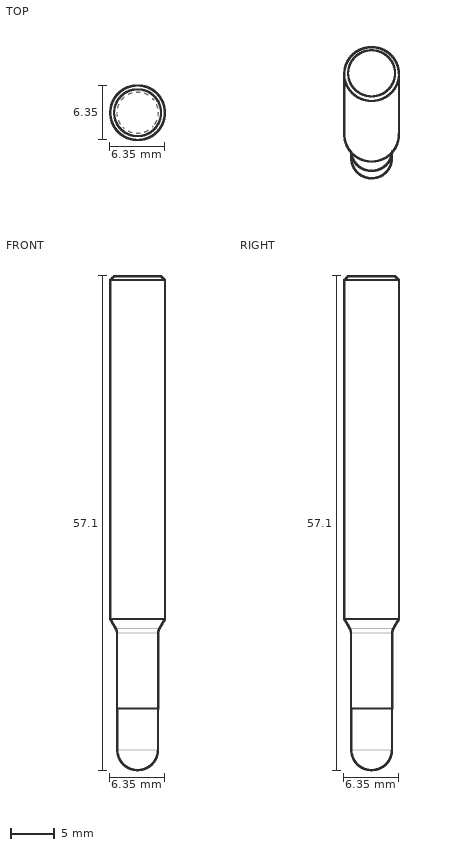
import cadquery as cq
import math

total_length = 57.15
shank_diameter = 6.35
neck_diameter = 4.8
tip_diameter = 4.75
tip_length = 7.15
shank_start = 17.5
top_chamfer = 0.45
taper_angle = 30.0
neck_fillet = 1.05

shank_radius = shank_diameter / 2
neck_radius = neck_diameter / 2
tip_radius = tip_diameter / 2
bottom_z = -total_length / 2
top_z = total_length / 2
joint_z = bottom_z + tip_length
shank_z = bottom_z + shank_start


def fillet_point(radius, degrees, start_z):
    """Point on the neck fillet, turned by an angle from its lower end."""
    angle = math.radians(degrees)
    return (neck_radius + radius * (1 - math.cos(angle)), start_z + radius * math.sin(angle))


def make_shank():
    """Chamfered shank with a tapered, filleted step down to the neck."""
    slope = math.radians(taper_angle)
    taper_end_radius = neck_radius + neck_fillet * (1 - math.cos(slope))
    taper_height = (shank_radius - taper_end_radius) / math.tan(slope)
    fillet_z = shank_z - taper_height - neck_fillet * math.sin(slope)
    return (
        cq.Workplane("XZ")
        .moveTo(0, joint_z)
        .lineTo(neck_radius, joint_z)
        .lineTo(neck_radius, fillet_z)
        .threePointArc(
            fillet_point(neck_fillet, taper_angle / 2, fillet_z),
            fillet_point(neck_fillet, taper_angle, fillet_z),
        )
        .lineTo(shank_radius, shank_z)
        .lineTo(shank_radius, top_z - top_chamfer)
        .lineTo(shank_radius - top_chamfer, top_z)
        .lineTo(0, top_z)
        .close()
        .revolve(360, (0, 0, 0), (0, 1, 0))
    )


def make_tip():
    """Cylindrical tip with a hemispherical lower end, butted against the neck."""
    ball_z = bottom_z + tip_radius
    diagonal = tip_radius * math.sqrt(0.5)
    return (
        cq.Workplane("XZ")
        .moveTo(0, bottom_z)
        .threePointArc((diagonal, ball_z - diagonal), (tip_radius, ball_z))
        .lineTo(tip_radius, joint_z)
        .lineTo(0, joint_z)
        .close()
        .revolve(360, (0, 0, 0), (0, 1, 0))
    )


shank = make_shank()
tip = make_tip()

result = cq.Compound.makeCompound([shank.val(), tip.val()])